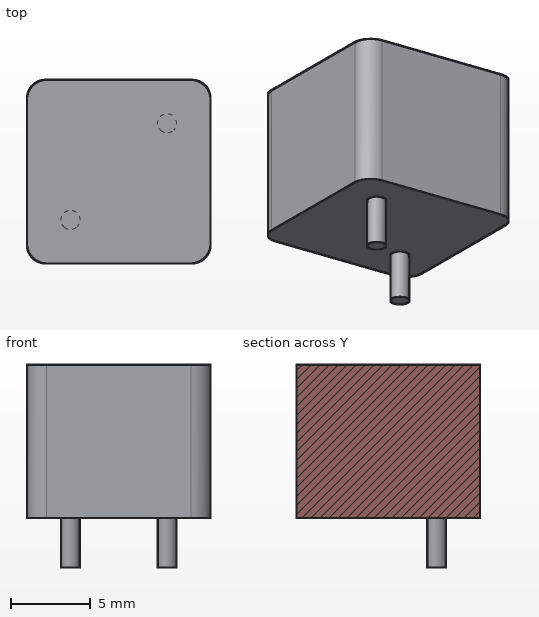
import cadquery as cq

body_width = 11.5
total_height = 12.7
corner_radius = 1.22

pin_diameter = 1.2
pin_length = 3.1
pin_spacing = 6.05

body_height = total_height - pin_length
pin_offset = pin_spacing / 2

body = (
    cq.Workplane("XY")
    .rect(body_width, body_width)
    .extrude(body_height)
    .edges("|Z")
    .fillet(corner_radius)
)

pins = (
    cq.Workplane("XY")
    .pushPoints([(-pin_offset, -pin_offset), (pin_offset, pin_offset)])
    .circle(pin_diameter / 2)
    .extrude(-pin_length)
)

result = body.union(pins)